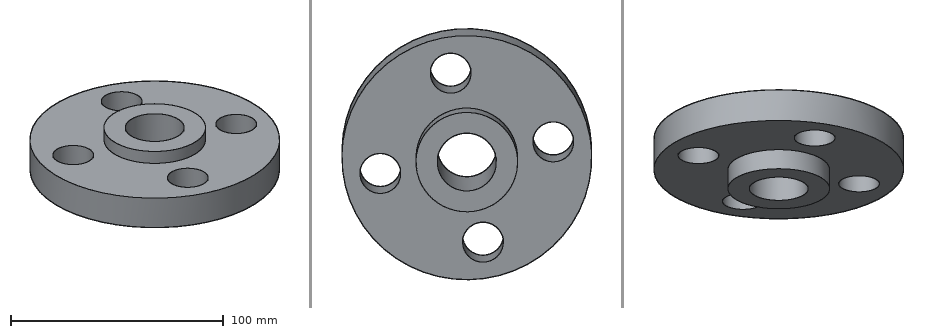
import cadquery as cq

flange_diameter = 117.4
flange_thickness = 15.7

hub_diameter = 47.8
hub_rise_above = 6.3
hub_drop_below = 9.7
bore_diameter = 27.7

bolt_hole_count = 4
bolt_hole_diameter = 19.1
bolt_circle_diameter = 82.6
first_bolt_angle = 45.0

hub_height = hub_drop_below + flange_thickness + hub_rise_above


def flange_plate():
    """Round plate whose underside sits above the bottom of the hub."""
    plate = cq.Workplane("XY").circle(flange_diameter / 2).extrude(flange_thickness)
    return plate.translate((0, 0, hub_drop_below))


def hub():
    """Round hub standing on the XY plane."""
    return cq.Workplane("XY").circle(hub_diameter / 2).extrude(hub_height)


def bore():
    """Central passage through the full hub height."""
    return cq.Workplane("XY").circle(bore_diameter / 2).extrude(hub_height)


def bolt_holes():
    """Through holes on the bolt circle, long enough to clear the plate."""
    return (
        cq.Workplane("XY")
        .polarArray(bolt_circle_diameter / 2, first_bolt_angle, 360, bolt_hole_count)
        .circle(bolt_hole_diameter / 2)
        .extrude(hub_height)
    )


result = flange_plate().union(hub()).cut(bore()).cut(bolt_holes())